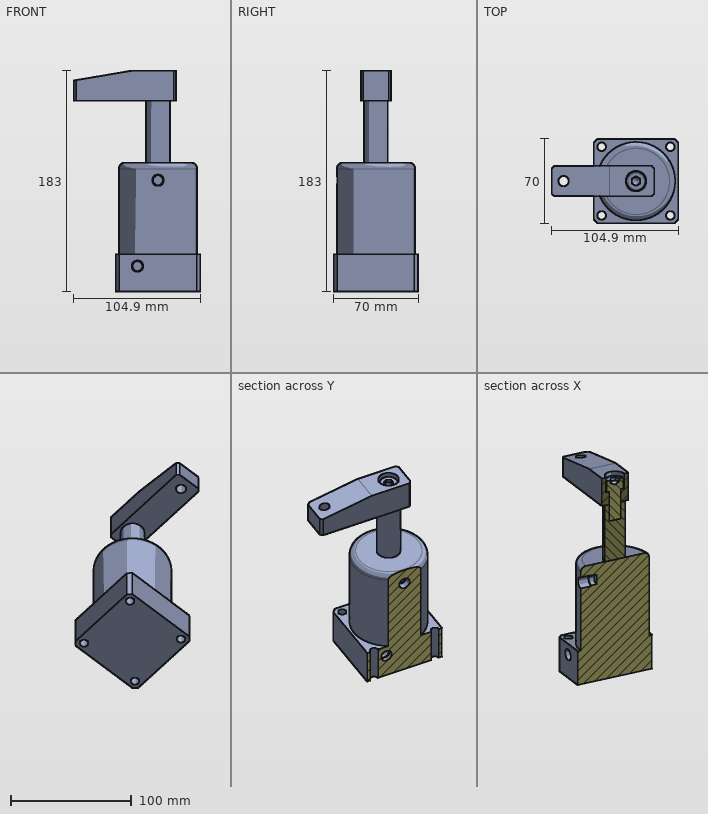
import cadquery as cq
import math


base_side = 70.0
base_height = 31.0
base_corner_chamfer = 3.1
barrel_diameter = 65.0
housing_height = 106.9
barrel_top_fillet = 5.0
mounting_hole_pitch = 57.0
mounting_hole_diameter = 7.0

port_thread_diameter = 9.5
port_thread_depth = 10.0
port_core_diameter = 8.2
port_core_depth = 15.0
barrel_port_z = 92.2
base_port_x = -17.0
base_port_z = 21.0

overall_height = 183
arm_thickness = 25.0
arm_width = 25.0
arm_reach = 69.9
arm_tail = 15.0
arm_taper_start = 22.3
arm_nose_height = 17.0
arm_corner_chamfer = 2.0
arm_tip_hole_x = -60.0
arm_tip_hole_diameter = 8.5
arm_bottom = overall_height - arm_thickness

rod_diameter = 20.0

counterbore_diameter = 17.0
head_diameter = 16.0
head_edge_fillet = 1.1
head_sink = 3.3
head_height = 10.0
shank_diameter = 10.0
thread_depth = 15.0
socket_width = 7.0
socket_depth = 3.0
socket_cone_angle = 120
head_top = overall_height - head_sink
head_seat = head_top - head_height
shank_bottom = arm_bottom - thread_depth


def vertical_cylinder(diameter, bottom, top):
    return cq.Workplane("XY", origin=(0, 0, bottom)).circle(diameter / 2).extrude(top - bottom)


def port(x, y_face, z):
    """Thread hole along +Y from y_face, with a narrower core hole running on behind it."""
    face = cq.Workplane("XZ", origin=(x, y_face, z))
    thread_hole = face.circle(port_thread_diameter / 2).extrude(-port_thread_depth)
    core_hole = face.circle(port_core_diameter / 2).extrude(-port_core_depth)
    return thread_hole.union(core_hole)


def make_housing():
    base = cq.Workplane("XY").rect(base_side, base_side).extrude(base_height)
    base = base.edges("|Z").chamfer(base_corner_chamfer)
    barrel = vertical_cylinder(barrel_diameter, base_height, housing_height)
    barrel = barrel.faces(">Z").edges().fillet(barrel_top_fillet)
    mounting_holes = (
        cq.Workplane("XY")
        .rect(mounting_hole_pitch, mounting_hole_pitch, forConstruction=True)
        .vertices()
        .circle(mounting_hole_diameter / 2)
        .extrude(base_height)
    )
    housing = base.union(barrel).cut(mounting_holes)
    housing = housing.cut(port(0, -barrel_diameter / 2, barrel_port_z))
    return housing.cut(port(base_port_x, -base_side / 2, base_port_z))


def make_rod():
    rod = vertical_cylinder(rod_diameter, housing_height, arm_bottom)
    return rod.cut(vertical_cylinder(shank_diameter, shank_bottom, arm_bottom))


def make_arm():
    side_outline = [
        (-arm_reach, arm_bottom),
        (arm_tail, arm_bottom),
        (arm_tail, overall_height),
        (-arm_taper_start, overall_height),
        (-arm_reach, arm_bottom + arm_nose_height),
    ]
    arm = cq.Workplane("XZ").polyline(side_outline).close().extrude(arm_width / 2, both=True)
    arm = arm.edges("|Z").chamfer(arm_corner_chamfer)
    tip_hole = vertical_cylinder(arm_tip_hole_diameter, arm_bottom, overall_height)
    arm = arm.cut(tip_hole.translate((arm_tip_hole_x, 0, 0)))
    arm = arm.cut(vertical_cylinder(counterbore_diameter, head_seat, overall_height))
    return arm.cut(vertical_cylinder(shank_diameter, arm_bottom, head_seat))


def make_screw():
    head = vertical_cylinder(head_diameter, head_seat, head_top)
    head = head.faces(">Z").edges().fillet(head_edge_fillet)
    screw = head.union(vertical_cylinder(shank_diameter, shank_bottom, head_seat))

    socket_bottom = head_top - socket_depth
    corner_distance = socket_width / math.cos(math.radians(30))
    socket = (
        cq.Workplane("XY", origin=(0, 0, socket_bottom))
        .polygon(6, corner_distance)
        .extrude(socket_depth)
        .rotate((0, 0, 0), (0, 0, 1), 90)
    )
    cone_depth = socket_width / 2 / math.tan(math.radians(socket_cone_angle / 2))
    cone = cq.Solid.makeCone(
        socket_width / 2, 0, cone_depth, cq.Vector(0, 0, socket_bottom), cq.Vector(0, 0, -1)
    )
    return screw.cut(socket).cut(cq.Workplane(cone))


housing = make_housing()
rod = make_rod()
arm = make_arm()
screw = make_screw()

result = cq.Compound.makeCompound([housing.val(), rod.val(), arm.val(), screw.val()])